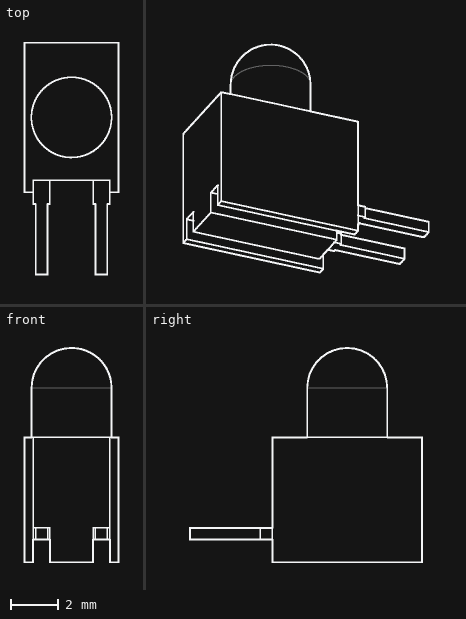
import cadquery as cq
import math

total_width = 4.0
total_length = 9.85
total_height = 9.1

lead_pitch = 2.54
lead_thickness = 0.5
lead_bottom = 0.97
shoulder_width = 0.71
shoulder_overhang = 0.5
tail_width = 0.51
tail_length = 2.99

housing_depth = total_length - tail_length - shoulder_overhang
housing_height = 5.3
recess_depth = 0.5
recess_width = lead_pitch + shoulder_width

lens_radius = 1.7


def block(width, y_front, y_back, z_bottom, height, x_center=0.0):
    """Box centred on x_center, spanning y_front to y_back and standing on z_bottom."""
    return (
        cq.Workplane("XY")
        .box(width, y_back - y_front, height, centered=(True, False, False))
        .translate((x_center, y_front, z_bottom))
    )


def make_housing():
    """Rectangular housing with a full-height recess between two front side walls."""
    housing = block(total_width, 0, housing_depth, 0, housing_height)
    return housing.cut(block(recess_width, 0, recess_depth, 0, housing_height))


def make_lens():
    """Cylinder with a hemispherical end, revolved from its half profile."""
    lens_height = total_height - housing_height
    dome_base = lens_height - lens_radius
    arc_offset = lens_radius / math.sqrt(2)
    return (
        cq.Workplane("XZ")
        .lineTo(lens_radius, 0)
        .lineTo(lens_radius, dome_base)
        .threePointArc((arc_offset, dome_base + arc_offset), (0, lens_height))
        .close()
        .revolve(360, (0, 0, 0), (0, 1, 0))
        .translate((0, housing_depth / 2, housing_height))
    )


def make_lead(x_center):
    """Stepped lead that runs from the back of the housing out past its front."""
    step_y = -shoulder_overhang
    tip_y = step_y - tail_length
    shoulder = block(shoulder_width, step_y, housing_depth, lead_bottom, lead_thickness, x_center)
    tail = block(tail_width, tip_y, step_y, lead_bottom, lead_thickness, x_center)
    return shoulder.union(tail)


result = make_housing().union(make_lens())

for lead_x in (-lead_pitch / 2, lead_pitch / 2):
    slot = block(shoulder_width, 0, housing_depth, 0, lead_bottom, lead_x)
    result = result.cut(slot).union(make_lead(lead_x))